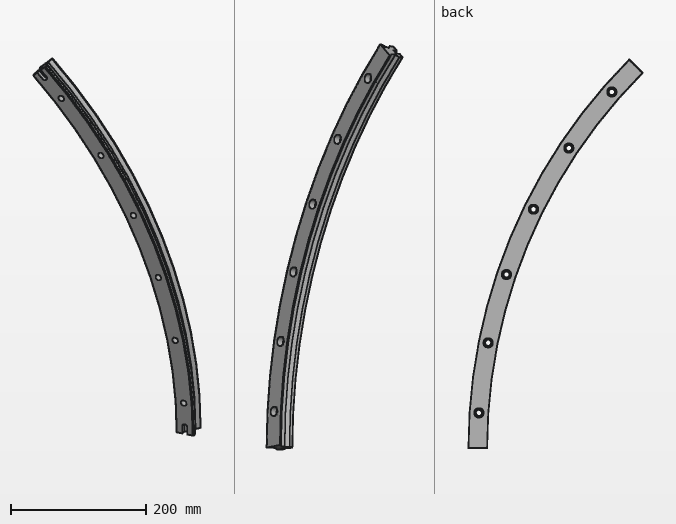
import cadquery as cq

MEAN_RADIUS = 800.0
SWEEP_ANGLE = 45.0
WIDTH = 28.0
HEIGHT = 28.0

EDGE_CHAMFER = 1.5
FOOT_SIDE_END = 7.7
FOOT_SHOULDER_END = 9.2
FOOT_SHOULDER_INSET = 1.4
NECK_START = 12.8
NECK_END = 20.3
HEAD_SHOULDER_START = 23.2
HEAD_SHOULDER_INSET = 2.2
HEAD_SIDE_START = 26.2
NECK_INSET = 5.0

HOLE_COUNT = 6
HOLE_DIAMETER = 9.0
COUNTERBORE_DIAMETER = 14.0
COUNTERBORE_DEPTH = 12.0
HOLE_PITCH_ANGLE = SWEEP_ANGLE / HOLE_COUNT

SLOT_WIDTH = 8.0
SLOT_LENGTH = 16.5
SLOT_DEPTH = 7.5

FRONT_Y = -HEIGHT / 2
BACK_Y = HEIGHT / 2


def make_rail():
    """Revolve the waisted profile through the sweep angle, starting in the XY plane."""
    half_width = WIDTH / 2
    neck = half_width - NECK_INSET
    one_side = [
        (half_width - EDGE_CHAMFER, 0),
        (half_width, EDGE_CHAMFER),
        (half_width, FOOT_SIDE_END),
        (half_width - FOOT_SHOULDER_INSET, FOOT_SHOULDER_END),
        (neck, NECK_START),
        (neck, NECK_END),
        (half_width - HEAD_SHOULDER_INSET, HEAD_SHOULDER_START),
        (half_width, HEAD_SIDE_START),
        (half_width, HEIGHT),
    ]
    outer_side = [(MEAN_RADIUS + offset, FRONT_Y + rise) for offset, rise in one_side]
    inner_side = [(MEAN_RADIUS - offset, FRONT_Y + rise) for offset, rise in reversed(one_side)]
    profile = cq.Workplane("XY").polyline(outer_side + inner_side).close()
    return profile.revolve(SWEEP_ANGLE, (0, 0, 0), (0, -1, 0))


def turn_along_rail(shape, angle):
    """Carry a shape from the start of the rail to the given angle along it."""
    return shape.rotate((0, 0, 0), (0, -1, 0), angle)


def make_hole(angle):
    """Counterbored mounting hole at the given angle along the rail."""
    back_face = cq.Workplane("XZ", origin=(MEAN_RADIUS, BACK_Y, 0))
    bore = back_face.circle(HOLE_DIAMETER / 2).extrude(HEIGHT)
    counterbore = back_face.circle(COUNTERBORE_DIAMETER / 2).extrude(COUNTERBORE_DEPTH)
    return turn_along_rail(bore.union(counterbore), angle)


def make_start_slot():
    """Round-ended slot reaching SLOT_LENGTH into the rail from its starting end."""
    return (
        cq.Workplane("XZ", origin=(MEAN_RADIUS, FRONT_Y + SLOT_DEPTH, 0))
        .slot2D(2 * SLOT_LENGTH, SLOT_WIDTH, 90)
        .extrude(SLOT_DEPTH)
    )


rail = make_rail()
for index in range(HOLE_COUNT):
    rail = rail.cut(make_hole((index + 0.5) * HOLE_PITCH_ANGLE))
for end_angle in (0, SWEEP_ANGLE):
    rail = rail.cut(turn_along_rail(make_start_slot(), end_angle))

result = rail